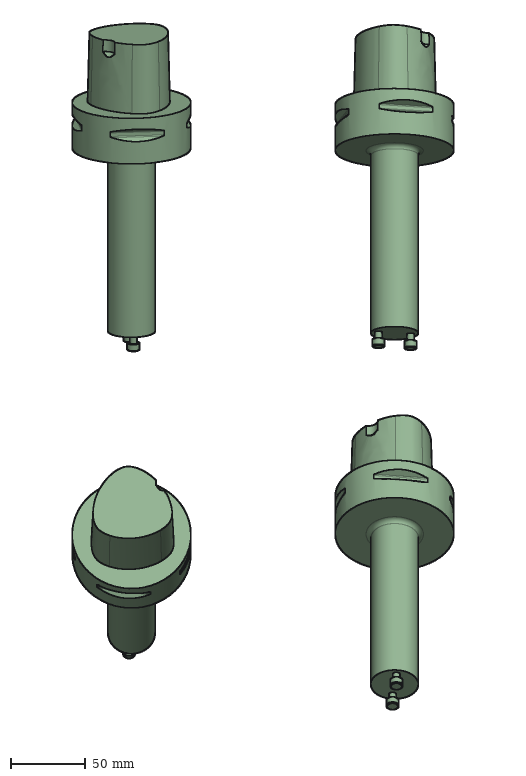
import cadquery as cq
import math

total_height = 218.0
taper_length = 48.0
flange_height = 31.8
flange_top = total_height - taper_length
flange_bottom = flange_top - flange_height
bar_bottom = 10.2

flange_diameter = 80.0
bar_diameter = 32.0
neck_fillet = 3.3

shank_top_width = 53.2
shank_base_width = 55.5
lobe_eccentricity = 2.07
flank_half_angle = 26.5
flank_middles = (270, 30, 150)
points_per_face = 7

notch_diameter = 12.6
notch_axis_y = -28.1
notch_straight_depth = 8.0
notch_point_depth = notch_diameter / 2

groove_angles = (45, 135, 225, 315)
groove_middle_z = 158.0
groove_floor_distance = 35.5
groove_floor_width = 3.5
groove_side_angle = 30
groove_corner_radius = 0.9

screw_offset = 7.8
screw_positions = [(-screw_offset, screw_offset), (screw_offset, -screw_offset)]
screw_diameter = 5.0
screw_head_diameter = 8.5
screw_head_height = 5.0
screw_head_chamfer = 0.7


def shank_point(width, normal_angle, flank_middle, z):
    """Point of the three-lobed curve whose normal is normal_angle from the flank's middle."""
    turn = math.radians(normal_angle)
    outward = (
        width / 2 * math.cos(turn)
        - 2 * lobe_eccentricity * math.cos(2 * turn)
        + lobe_eccentricity * math.cos(4 * turn)
    )
    sideways = (
        width / 2 * math.sin(turn)
        + 2 * lobe_eccentricity * math.sin(2 * turn)
        + lobe_eccentricity * math.sin(4 * turn)
    )
    middle = math.radians(flank_middle)
    return cq.Vector(
        outward * math.cos(middle) - sideways * math.sin(middle),
        outward * math.sin(middle) + sideways * math.cos(middle),
        z,
    )


def shank_edge(width, start_angle, end_angle, flank_middle, z):
    """Spline along the three-lobed curve, with exact directions at both ends."""
    step = (end_angle - start_angle) / (points_per_face - 1)
    points = [
        shank_point(width, start_angle + i * step, flank_middle, z)
        for i in range(points_per_face)
    ]
    tangents = []
    for angle in (start_angle, end_angle):
        heading = math.radians(flank_middle + angle + 90)
        tangents.append(cq.Vector(math.cos(heading), math.sin(heading), 0))
    return cq.Edge.makeSpline(points, tangents=tangents)


def shank_section(width, z):
    """Closed outline of three flanks alternating with three lobes."""
    edges = []
    lobe_end = 120 - flank_half_angle
    for middle in flank_middles:
        edges.append(shank_edge(width, -flank_half_angle, flank_half_angle, middle, z))
        edges.append(shank_edge(width, flank_half_angle, lobe_end, middle, z))
    return cq.Wire.assembleEdges(edges)


def make_shank():
    base = shank_section(shank_base_width, flange_top)
    top = shank_section(shank_top_width, total_height)
    return cq.Workplane(cq.Solid.makeLoft([base, top], True))


def make_notch():
    """Vertical drill with a conical point, partly outside the shank."""
    radius = notch_diameter / 2
    drill_profile = [
        (0, total_height),
        (radius, total_height),
        (radius, total_height - notch_straight_depth),
        (0, total_height - notch_straight_depth - notch_point_depth),
    ]
    drill = cq.Workplane("XZ").polyline(drill_profile).close().revolve(360, (0, 0), (0, 1))
    return drill.translate((0, notch_axis_y, 0))


def make_flange_and_bar():
    flange = (
        cq.Workplane("XY", origin=(0, 0, flange_bottom))
        .circle(flange_diameter / 2)
        .extrude(flange_height)
    )
    bar = (
        cq.Workplane("XY", origin=(0, 0, bar_bottom))
        .circle(bar_diameter / 2)
        .extrude(flange_bottom - bar_bottom)
    )
    flange_underside = flange.union(bar).faces("<Z[1]")
    neck_edge = flange_underside.edges(cq.selectors.RadiusNthSelector(0))
    return neck_edge.fillet(neck_fillet)


def make_groove(angle):
    """Straight groove with a flat floor and rounded corners, opening outwards."""
    outer_distance = flange_diameter / 2
    floor_half = groove_floor_width / 2
    opening = (outer_distance - groove_floor_distance) * math.tan(math.radians(groove_side_angle))
    mouth_half = floor_half + opening
    return (
        cq.Workplane("XZ", origin=(0, 0, groove_middle_z))
        .moveTo(groove_floor_distance, -floor_half)
        .lineTo(outer_distance, -mouth_half)
        .lineTo(outer_distance, mouth_half)
        .lineTo(groove_floor_distance, floor_half)
        .close()
        .extrude(flange_diameter / 2, both=True)
        .faces("<X")
        .edges("|Y")
        .fillet(groove_corner_radius)
        .rotate((0, 0, 0), (0, 0, 1), angle)
    )


def make_screws():
    heads = (
        cq.Workplane("XY")
        .pushPoints(screw_positions)
        .circle(screw_head_diameter / 2)
        .extrude(screw_head_height)
        .faces("<Z")
        .edges()
        .chamfer(screw_head_chamfer)
    )
    stems = (
        cq.Workplane("XY", origin=(0, 0, screw_head_height))
        .pushPoints(screw_positions)
        .circle(screw_diameter / 2)
        .extrude(bar_bottom - screw_head_height)
    )
    return heads.union(stems)


body = make_flange_and_bar()
for groove_angle in groove_angles:
    body = body.cut(make_groove(groove_angle))
result = body.union(make_shank().cut(make_notch())).union(make_screws())